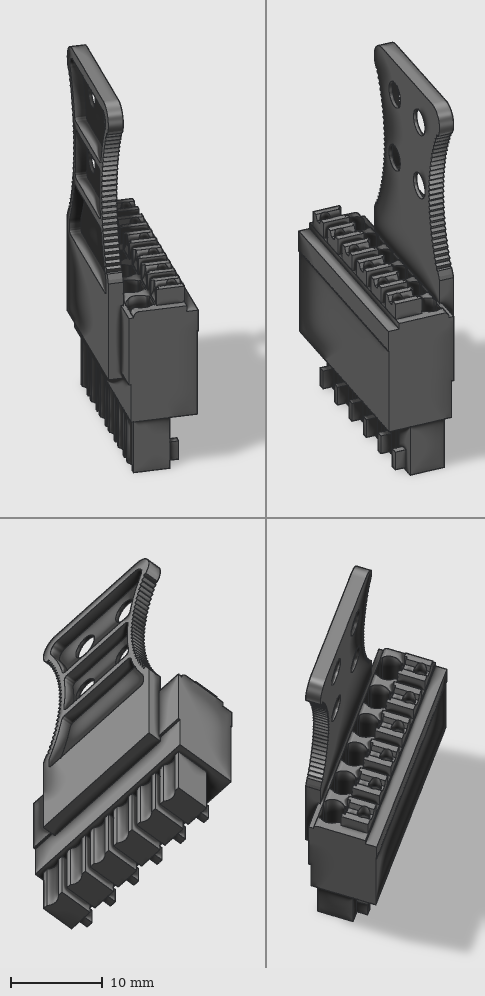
import cadquery as cq
import math


contact_count = 6
contact_pitch = 3.81
contact_xs = [(i - (contact_count - 1) / 2) * contact_pitch for i in range(contact_count)]

housing_length = 23.65
housing_upper_front_y = 1.45
housing_lower_front_y = 1.7
housing_back_y = 9.2
lip_back_y = 9.3
ridge_front_y = 2.0
ridge_back_y = 8.0
housing_bottom_z = 6.65
front_step_z = 11.25
lip_bottom_z = 16.85
shelf_z = 19.4
ridge_top_z = 20.1
ridge_round = 0.65

wire_entry_diameter = 3.0
wire_entry_y = 3.35
wire_entry_depth = 6.0
wire_entry_slot_width = 2.1
wire_entry_slot_y = (ridge_front_y, 4.68)

plug_width = 3.0
plug_front_y = 2.2
plug_back_y = 6.3
plug_groove_width = 1.85
plug_groove_depth = 0.4
key_width = 0.8
key_back_y = 7.6
key_bottom_z = 0.4
key_top_z = 2.65

lever_width = 2.7
lever_front_y = 4.85
lever_top_z = 22.05
lever_groove_top_width = 1.3
lever_groove_floor_width = 0.6
lever_groove_depth = 0.6
lever_hole_diameter = 1.45
lever_hole_y = 7.0
lever_pocket_width = 1.85
lever_pocket_depth = 0.3
lever_ledge_top_z = 20.85
lever_ledge_front_z = 20.2

handle_width = 17.25
handle_thickness = housing_lower_front_y
handle_bottom_z = 10.5
handle_top_z = 43.6
handle_corner_radius = 2.0
handle_corner_end_z = 40.7
shoulder_z = 22.6
shoulder_bevel_height = 0.35

waist_z = 31.75
waist_half_width = 5.71
grip_radius = 18.8
tooth_height = 0.32
tooth_step = math.radians(2)
tooth_count = 27

pocket_depth = 1.3
rim_width = 0.63
pocket_round = 0.5
top_pocket_round = 1.1
shoulder_pocket_round = 1.5
bottom_pocket_z = (20.45, 27.5)
middle_pocket_z = (28.45, 34.5)
top_pocket_z = (35.4, 42.4)
bottom_pocket_width = 15.45

handle_hole_diameter = 3.0
handle_hole_spacing_x = 6.5
handle_hole_zs = (31.45, 39.45)


def box(x_centre, width, y_range, z_range):
    """Block centred on x_centre that spans the given Y and Z ranges."""
    size_y = y_range[1] - y_range[0]
    size_z = z_range[1] - z_range[0]
    block = cq.Workplane("XY").box(width, size_y, size_z, centered=(True, False, False))
    return block.translate((x_centre, y_range[0], z_range[0]))


def upright_cylinder(x, y, diameter, z_range):
    base = cq.Workplane("XY", origin=(x, y, z_range[0]))
    return base.circle(diameter / 2).extrude(z_range[1] - z_range[0])


def front_sketch(y=0):
    """Workplane with local X = X and local Y = Z; extrude negative to go towards +Y."""
    return cq.Workplane("XZ", origin=(0, y, 0))


def grip_point(angle, height):
    """Point on the right-hand grip, at an angle above the waist and a height above the tooth roots."""
    centre_x = waist_half_width + grip_radius
    radius = grip_radius - height
    return (centre_x - radius * math.cos(angle), waist_z + radius * math.sin(angle))


def grip_point_at(z, height):
    """Point on the right-hand grip at a given Z and a height above the tooth roots."""
    return grip_point(math.asin((z - waist_z) / (grip_radius - height)), height)


def grip_points():
    """Right-hand grip from the shoulder to the ledge under the top corner."""
    first_angle = -tooth_count * tooth_step / 2
    first_root = grip_point(first_angle, 0)
    last_root = grip_point(-first_angle, 0)

    points = [
        grip_point_at(shoulder_z, tooth_height),
        grip_point_at(first_root[1], tooth_height),
        first_root,
    ]
    for i in range(tooth_count):
        points.append(grip_point(first_angle + (i + 0.5) * tooth_step, tooth_height))
        points.append(grip_point(first_angle + (i + 1) * tooth_step, 0))
    points.append(grip_point_at(last_root[1], tooth_height))
    return points


def handle_blank():
    half_width = handle_width / 2
    right_grip = grip_points()
    left_grip = [(-x, z) for x, z in reversed(right_grip)]
    bevel_z = shoulder_z - shoulder_bevel_height
    corner_x = half_width - handle_corner_radius
    corner_z = handle_top_z - handle_corner_radius
    corner_mid_x = corner_x + handle_corner_radius * math.sqrt(0.5)
    corner_mid_z = corner_z + handle_corner_radius * math.sqrt(0.5)
    corner_end_x = corner_x + math.sqrt(handle_corner_radius**2 - (corner_z - handle_corner_end_z) ** 2)

    outline = (
        front_sketch()
        .moveTo(-half_width, handle_bottom_z)
        .lineTo(half_width, handle_bottom_z)
        .lineTo(half_width, bevel_z)
        .polyline(right_grip, includeCurrent=True)
        .lineTo(corner_end_x, handle_corner_end_z)
        .threePointArc((corner_mid_x, corner_mid_z), (corner_x, handle_top_z))
        .lineTo(-corner_x, handle_top_z)
        .threePointArc((-corner_mid_x, corner_mid_z), (-corner_end_x, handle_corner_end_z))
        .polyline(left_grip, includeCurrent=True)
        .lineTo(-half_width, bevel_z)
        .close()
    )
    return outline.extrude(-handle_thickness)


def pocket(z_range, width):
    """Pocket shape whose sides follow the grip arcs, limited to the given width."""
    shape = box(0, width, (0, pocket_depth), z_range)
    arc_x = waist_half_width + grip_radius
    arc_sides = (
        front_sketch()
        .pushPoints([(-arc_x, waist_z), (arc_x, waist_z)])
        .circle(grip_radius + rim_width)
        .extrude(-pocket_depth)
    )
    return shape.cut(arc_sides)


def make_handle():
    top_pocket = pocket(top_pocket_z, 2 * handle_width)
    top_pocket = top_pocket.edges("|Y and >Z").fillet(top_pocket_round)
    top_pocket = top_pocket.edges("|Y and <Z").fillet(pocket_round)

    middle_pocket = pocket(middle_pocket_z, handle_width).edges("|Y and (<Z or >Z)").fillet(pocket_round)

    bottom_pocket = pocket(bottom_pocket_z, bottom_pocket_width)
    bottom_pocket = bottom_pocket.edges("|Y and (<Z or >Z)").fillet(pocket_round)
    for side in (-1, 1):
        shoulder_edge = cq.selectors.NearestToPointSelector(
            (side * bottom_pocket_width / 2, pocket_depth / 2, shoulder_z)
        )
        bottom_pocket = bottom_pocket.edges(shoulder_edge).fillet(shoulder_pocket_round)

    hole_half_spacing = handle_hole_spacing_x / 2
    hole_centres = [(x, z) for x in (-hole_half_spacing, hole_half_spacing) for z in handle_hole_zs]
    holes = (
        front_sketch()
        .pushPoints(hole_centres)
        .circle(handle_hole_diameter / 2)
        .extrude(-handle_thickness)
    )
    return handle_blank().cut(top_pocket).cut(middle_pocket).cut(bottom_pocket).cut(holes)


def housing_block():
    profile = [
        (housing_lower_front_y, housing_bottom_z),
        (housing_lower_front_y, front_step_z),
        (housing_upper_front_y, front_step_z),
        (housing_upper_front_y, shelf_z),
        (ridge_front_y, shelf_z),
        (ridge_front_y, ridge_top_z),
        (ridge_back_y, ridge_top_z),
        (ridge_back_y, shelf_z),
        (lip_back_y, shelf_z),
        (lip_back_y, lip_bottom_z),
        (housing_back_y, lip_bottom_z),
        (housing_back_y, housing_bottom_z),
    ]
    block = cq.Workplane("YZ").polyline(profile).close().extrude(housing_length / 2, both=True)
    ridge_edge = cq.selectors.NearestToPointSelector((0, ridge_front_y, ridge_top_z))
    return block.edges(ridge_edge).fillet(ridge_round)


def plug(x):
    """Plug body with a shallow round groove down its front and a key on its back."""
    body = box(x, plug_width, (plug_front_y, plug_back_y), (0, housing_bottom_z))
    groove_radius = ((plug_groove_width / 2) ** 2 + plug_groove_depth**2) / (2 * plug_groove_depth)
    groove_y = plug_front_y + plug_groove_depth - groove_radius
    groove = upright_cylinder(x, groove_y, 2 * groove_radius, (0, housing_bottom_z))
    key = box(x, key_width, (plug_back_y, key_back_y), (key_bottom_z, key_top_z))
    return body.cut(groove).union(key)


def wire_entry(x):
    """Blind round entry with flats at its front and back, squared out by a slot of the same depth."""
    z_range = (ridge_top_z - wire_entry_depth, ridge_top_z)
    slot = box(x, wire_entry_slot_width, wire_entry_slot_y, z_range)
    between_flats = box(x, wire_entry_diameter, wire_entry_slot_y, z_range)
    round_entry = upright_cylinder(x, wire_entry_y, wire_entry_diameter, z_range).intersect(between_flats)
    return round_entry.union(slot)


def make_housing():
    housing = housing_block()
    handle_seat = box(0, handle_width, (housing_upper_front_y, handle_thickness), (front_step_z, ridge_top_z))
    housing = housing.cut(handle_seat)
    for x in contact_xs:
        housing = housing.cut(wire_entry(x))
        housing = housing.union(plug(x))
    return housing


def make_lever(x):
    lever = box(x, lever_width, (lever_front_y, ridge_back_y), (ridge_top_z, lever_top_z))

    groove_floor_z = lever_top_z - lever_groove_depth
    groove_section = [
        (x - lever_groove_top_width / 2, lever_top_z),
        (x - lever_groove_floor_width / 2, groove_floor_z),
        (x + lever_groove_floor_width / 2, groove_floor_z),
        (x + lever_groove_top_width / 2, lever_top_z),
    ]
    lever_length = ridge_back_y - lever_front_y
    groove = front_sketch(lever_front_y).polyline(groove_section).close().extrude(-lever_length)

    pocket_back_y = lever_front_y + lever_pocket_depth
    pocket_section = [
        (lever_front_y, lever_ledge_front_z),
        (pocket_back_y, lever_ledge_top_z),
        (pocket_back_y, lever_top_z),
        (lever_front_y, lever_top_z),
    ]
    front_pocket = (
        cq.Workplane("YZ", origin=(x, 0, 0))
        .polyline(pocket_section)
        .close()
        .extrude(lever_pocket_width / 2, both=True)
    )
    hole = upright_cylinder(x, lever_hole_y, lever_hole_diameter, (ridge_top_z, lever_top_z))
    return lever.cut(groove).cut(front_pocket).cut(hole)


handle = make_handle()
housing = make_housing()
levers = [make_lever(x) for x in contact_xs]

result = cq.Compound.makeCompound([housing.val(), handle.val(), *[lever.val() for lever in levers]])